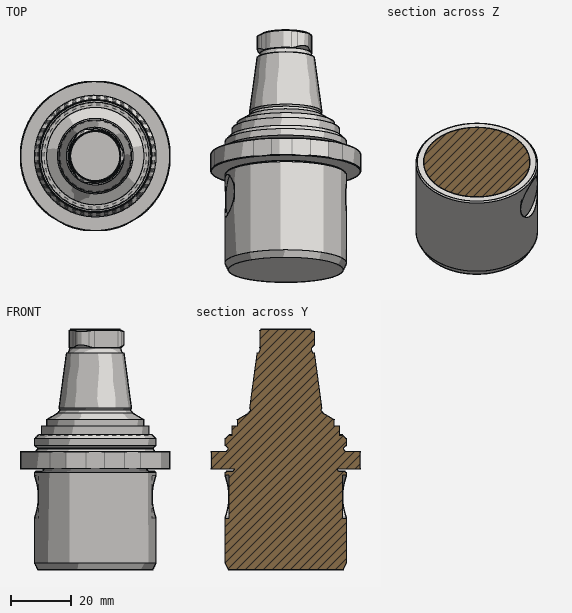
import cadquery as cq
import math

HEIGHT = 79.0
BODY_RADIUS = 20.0

FLANGE_BOTTOM = 33.1
FLANGE_TOP = 38.95
FLAT_DISTANCE = 24.5
FLAT_HALF_WIDTH = 3.1
FLANGE_RADIUS = math.hypot(FLAT_DISTANCE, FLAT_HALF_WIDTH)
FLANGE_CHAMFER = 0.2
FLAT_ANGLES = (0, 60, 90, 120, 180, 240, 270, 300)

BODY_TOP = 32.4
BODY_TOP_CHAMFER = 0.5
FOOT_HEIGHT = 2.3
FOOT_RADIUS = 18.9
LOWER_NECK_RADIUS = 35.0 / 2

COLLAR_NECK_RADIUS = 19.0
COLLAR_NECK_TOP = 40.05
COLLAR_NECK_BOTTOM = 39.65
COLLAR_FLARE_RADIUS = 19.6
COLLAR_BOTTOM = 40.85
COLLAR_SHOULDER = 43.05
COLLAR_RIM_RADIUS = 18.6
COLLAR_TOP = COLLAR_SHOULDER + BODY_RADIUS - COLLAR_RIM_RADIUS
COLLAR_RECESS_RADIUS = 18.25
COLLAR_RECESS_Z = 44.2
LARGE_STEP_RADIUS = 17.7
LARGE_STEP_TOP = 47.3
SMALL_STEP_RADIUS = 32.0 / 2
SMALL_STEP_TOP = 49.3

SHANK_SEAT_RADIUS = 12.4
SHANK_SEAT_Z = 51.4
SHANK_GROOVE_RADIUS = 11.6
SHANK_GROOVE_Z = 52.45
SHANK_BOTTOM_RADIUS = 11.9
SHANK_BOTTOM = 53.1
SHANK_TOP_RADIUS = 9.5
SHANK_TOP = 71.25

NECK_FOOT_RADIUS = 9.0
NECK_RADIUS = 8.45
NECK_TOP = 72.8
NECK_SAG = 0.15

KNOB_RADIUS = 8.6
KNOB_TOP_RADIUS = 8.05
LOBE_REACH = 9.5
LOBE_RADIUS = 4.1
LOBE_OFFSET = LOBE_REACH - LOBE_RADIUS
LOBE_COUNT = 3
BLEND_RADIUS = 12.65
KNOB_TOP_CHAMFER = 0.3
LOBE_TOP_DROP = 0.8

POCKET_DIAMETER = 14.0
POCKET_Z = 24.0
POCKET_FLOOR = 18.65


def polar(radius, angle):
    """Point at the given radius and angle (radians) about the axis."""
    return radius * math.cos(angle), radius * math.sin(angle)


def make_turned_body():
    """Everything round, from the bottom face up to the underside of the knob."""
    neck_middle = ((NECK_FOOT_RADIUS + NECK_RADIUS) / 2 - NECK_SAG, (SHANK_TOP + NECK_TOP) / 2)
    profile = (
        cq.Workplane("XZ")
        .moveTo(0, 0)
        .lineTo(FOOT_RADIUS, 0)
        .lineTo(BODY_RADIUS, FOOT_HEIGHT)
        .lineTo(BODY_RADIUS, BODY_TOP - BODY_TOP_CHAMFER)
        .lineTo(BODY_RADIUS - BODY_TOP_CHAMFER, BODY_TOP)
        .lineTo(LOWER_NECK_RADIUS, BODY_TOP)
        .lineTo(LOWER_NECK_RADIUS - (FLANGE_BOTTOM - BODY_TOP), FLANGE_BOTTOM)
        .lineTo(LOWER_NECK_RADIUS, FLANGE_TOP)
        .lineTo(COLLAR_FLARE_RADIUS, FLANGE_TOP)
        .lineTo(COLLAR_NECK_RADIUS, COLLAR_NECK_BOTTOM)
        .lineTo(COLLAR_NECK_RADIUS, COLLAR_NECK_TOP)
        .lineTo(BODY_RADIUS, COLLAR_BOTTOM)
        .lineTo(BODY_RADIUS, COLLAR_SHOULDER)
        .lineTo(COLLAR_RIM_RADIUS, COLLAR_TOP)
        .lineTo(COLLAR_RECESS_RADIUS, COLLAR_RECESS_Z)
        .lineTo(LARGE_STEP_RADIUS, COLLAR_RECESS_Z)
        .lineTo(LARGE_STEP_RADIUS, LARGE_STEP_TOP)
        .lineTo(SMALL_STEP_RADIUS, LARGE_STEP_TOP)
        .lineTo(SMALL_STEP_RADIUS, SMALL_STEP_TOP)
        .lineTo(SHANK_SEAT_RADIUS, SHANK_SEAT_Z)
        .lineTo(SHANK_GROOVE_RADIUS, SHANK_GROOVE_Z)
        .lineTo(SHANK_BOTTOM_RADIUS, SHANK_BOTTOM)
        .lineTo(SHANK_TOP_RADIUS, SHANK_TOP)
        .lineTo(NECK_FOOT_RADIUS, SHANK_TOP)
        .threePointArc(neck_middle, (NECK_RADIUS, NECK_TOP))
        .lineTo(0, NECK_TOP)
        .close()
    )
    return profile.revolve(360, (0, 0, 0), (0, 1, 0))


def make_flange():
    """Chamfered disc with a flat cut at each of the listed angles."""
    flange = (
        cq.Workplane("XY", origin=(0, 0, FLANGE_BOTTOM))
        .circle(FLANGE_RADIUS)
        .extrude(FLANGE_TOP - FLANGE_BOTTOM)
        .edges()
        .chamfer(FLANGE_CHAMFER)
    )
    cutter = cq.Workplane("XY").box(
        FLANGE_RADIUS, FLANGE_RADIUS, HEIGHT, centered=(False, True, False)
    ).translate((FLAT_DISTANCE, 0, 0))
    for angle in FLAT_ANGLES:
        flange = flange.cut(cutter.rotate((0, 0, 0), (0, 0, 1), angle))
    return flange


def make_knob():
    """Disc with three rounded lobes blended in by hollow arcs, bevelled above and below."""
    pitch = 2 * math.pi / LOBE_COUNT
    blend_distance = KNOB_RADIUS + BLEND_RADIUS
    lobe_to_blend = LOBE_RADIUS + BLEND_RADIUS
    blend_angle = math.acos(
        (blend_distance**2 + LOBE_OFFSET**2 - lobe_to_blend**2) / (2 * blend_distance * LOBE_OFFSET)
    )
    blend_x, blend_y = polar(blend_distance, blend_angle)
    lobe_normal = math.atan2(blend_y, blend_x - LOBE_OFFSET)
    contact_x = LOBE_OFFSET + LOBE_RADIUS * math.cos(lobe_normal)
    contact_y = LOBE_RADIUS * math.sin(lobe_normal)
    contact_radius = math.hypot(contact_x, contact_y)
    contact_angle = math.atan2(contact_y, contact_x)

    middle_normal = (blend_angle + lobe_normal) / 2
    middle_x = blend_x - BLEND_RADIUS * math.cos(middle_normal)
    middle_y = blend_y - BLEND_RADIUS * math.sin(middle_normal)
    middle_radius = math.hypot(middle_x, middle_y)
    middle_angle = math.atan2(middle_y, middle_x)

    outline = cq.Workplane("XY", origin=(0, 0, NECK_TOP)).moveTo(*polar(contact_radius, -contact_angle))
    for index in range(LOBE_COUNT):
        lobe = index * pitch
        next_lobe = lobe + pitch
        outline = (
            outline
            .threePointArc(polar(LOBE_REACH, lobe), polar(contact_radius, lobe + contact_angle))
            .threePointArc(
                polar(middle_radius, lobe + middle_angle),
                polar(KNOB_RADIUS, lobe + blend_angle),
            )
            .threePointArc(
                polar(KNOB_RADIUS, lobe + pitch / 2),
                polar(KNOB_RADIUS, next_lobe - blend_angle),
            )
            .threePointArc(
                polar(middle_radius, next_lobe - middle_angle),
                polar(contact_radius, next_lobe - contact_angle),
            )
        )
    knob = outline.close().extrude(HEIGHT - NECK_TOP)

    bevel_envelope = (
        cq.Workplane("XZ")
        .moveTo(0, NECK_TOP)
        .lineTo(NECK_RADIUS, NECK_TOP)
        .lineTo(LOBE_REACH, NECK_TOP + LOBE_REACH - NECK_RADIUS)
        .lineTo(LOBE_REACH, HEIGHT - LOBE_TOP_DROP)
        .lineTo(KNOB_TOP_RADIUS + KNOB_TOP_CHAMFER, HEIGHT - KNOB_TOP_CHAMFER)
        .lineTo(KNOB_TOP_RADIUS, HEIGHT)
        .lineTo(0, HEIGHT)
        .close()
        .revolve(360, (0, 0, 0), (0, 1, 0))
    )
    return knob.intersect(bevel_envelope)


def make_pocket(side):
    """Cutter for the flat-bottomed round pocket on the +X (1) or -X (-1) side."""
    return (
        cq.Workplane("YZ", origin=(side * POCKET_FLOOR, 0, POCKET_Z))
        .circle(POCKET_DIAMETER / 2)
        .extrude(side * BODY_RADIUS)
    )


result = make_turned_body().union(make_flange()).union(make_knob())
for pocket_side in (-1, 1):
    result = result.cut(make_pocket(pocket_side))